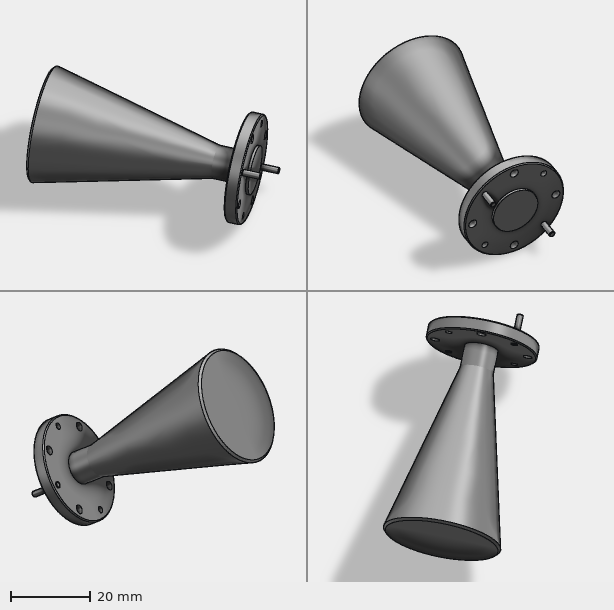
import cadquery as cq
import math


mouth_diameter = 30.25
mouth_chamfer = 0.6
cone_end_x = 45.65
neck_diameter = 8.6

flange_start_x = 51.75
flange_thickness = 3.4
flange_diameter = 28.55
flange_chamfer = 0.3
boss_diameter = 12.7
boss_height = 0.7
flange_end_x = flange_start_x + flange_thickness
boss_end_x = flange_end_x + boss_height

bolt_circle_diameter = 23.85
screw_hole_diameter = 2.3
screw_hole_angles = (0, 90, 180, 270)
dowel_hole_diameter = 1.7
dowel_hole_angles = (45, 225)
pin_diameter = 1.6
pin_angles = (135, 315)
pin_end_x = 59.75
pin_chamfer = 0.2


def bolt_circle_point(angle):
    """Y and Z of a place on the bolt circle, with the angle measured from +Y toward +Z."""
    radians = math.radians(angle)
    return bolt_circle_diameter / 2 * math.cos(radians), bolt_circle_diameter / 2 * math.sin(radians)


def make_rod(diameter, start_x, end_x, center=(0, 0)):
    """Round rod along X, centred on the given Y and Z."""
    return (
        cq.Workplane("YZ", origin=(start_x, 0, 0))
        .center(*center)
        .circle(diameter / 2)
        .extrude(end_x - start_x)
    )


def make_cone():
    """Solid cone with a chamfered rim at the mouth, narrowing to the neck."""
    mouth_radius = mouth_diameter / 2
    return (
        cq.Workplane("XZ")
        .moveTo(0, 0)
        .lineTo(0, mouth_radius - mouth_chamfer)
        .lineTo(mouth_chamfer, mouth_radius)
        .lineTo(cone_end_x, neck_diameter / 2)
        .lineTo(cone_end_x, 0)
        .close()
        .revolve(360, (0, 0, 0), (1, 0, 0))
    )


def make_flange():
    """Flange disc with both rims chamfered and a low round boss on its +X face."""
    disc = make_rod(flange_diameter, flange_start_x, flange_end_x).edges("%CIRCLE").chamfer(flange_chamfer)
    boss = make_rod(boss_diameter, flange_end_x, boss_end_x)
    return disc.union(boss)


def drill_flange(body, diameter, angles):
    """Cut through holes of one diameter at the given bolt circle angles."""
    for angle in angles:
        body = body.cut(make_rod(diameter, flange_start_x, flange_end_x, bolt_circle_point(angle)))
    return body


def make_horn():
    """Cone, neck and flange as one body with its screw, dowel and pin holes."""
    neck = make_rod(neck_diameter, cone_end_x, flange_start_x)
    horn = make_cone().union(neck).union(make_flange())
    horn = drill_flange(horn, screw_hole_diameter, screw_hole_angles)
    horn = drill_flange(horn, dowel_hole_diameter, dowel_hole_angles)
    return drill_flange(horn, pin_diameter, pin_angles)


def make_pin(angle):
    """Alignment pin, flush with the flange's -X face and chamfered at both ends."""
    pin = make_rod(pin_diameter, flange_start_x, pin_end_x, bolt_circle_point(angle))
    return pin.edges("%CIRCLE").chamfer(pin_chamfer)


horn = make_horn()
pins = [make_pin(angle) for angle in pin_angles]

result = cq.Compound.makeCompound([horn.val(), *[pin.val() for pin in pins]])